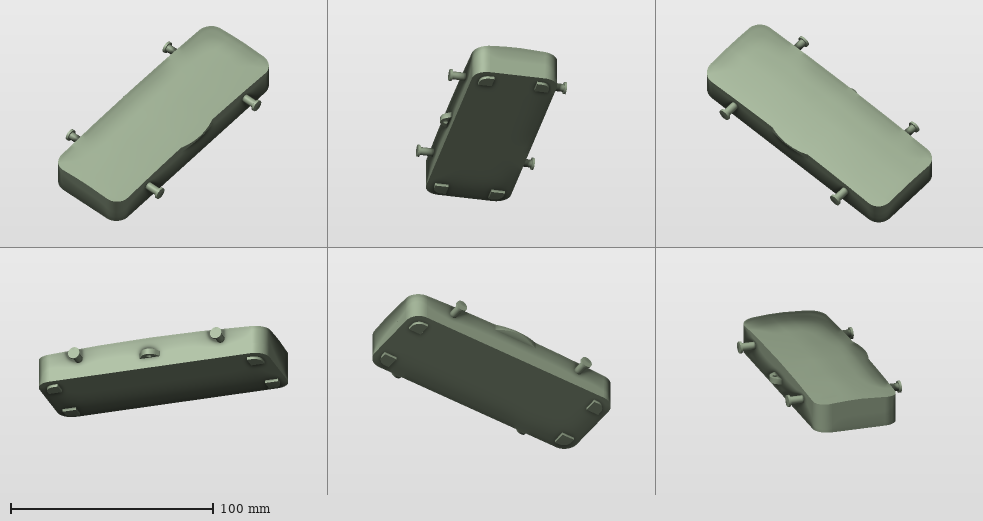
import cadquery as cq
import math

CASE_WIDTH = 43.0
CASE_LENGTH = 120.0
CORNER_RADIUS = 7.5
BASE_HEIGHT = 5.4
CROWN_HEIGHT = 17.9

CROWN_RADIUS_X = 148.8
CROWN_RADIUS_Y = 936.0

CROWN_OVERRUN = 2.4
TRIM_ALLOWANCE = 1.2

FOOT_SIZE = 6.8
FOOT_HEIGHT = 1.5
FOOT_INSET = 3.8
FOOT_CORNER_RADIUS = 4.5

PIN_SPAN = 59.0
PIN_SPACING = 74.0
PIN_HEIGHT = 10.0
PIN_DIAMETER = 4.0
PIN_HEAD_DIAMETER = 6.0
PIN_HEAD_THICKNESS = 1.2

EYELET_RADIUS = 4.5
EYELET_ROOT_WIDTH = 10.5
EYELET_THICKNESS = 2.9
EYELET_HOLE_DIAMETER = 2.6
EYELET_HOLE_OFFSET = 1.8

GRIP_LENGTH = 24.0
GRIP_REACH = 2.2
GRIP_BOTTOM = 12.5
GRIP_LIP_BOTTOM = 14.6

HALF_WIDTH = CASE_WIDTH / 2
HALF_LENGTH = CASE_LENGTH / 2


def case_block(bottom, top):
    """Upright block with the rounded outline of the case."""
    return (
        cq.Workplane("XY", origin=(0, 0, bottom))
        .rect(CASE_WIDTH, CASE_LENGTH)
        .extrude(top - bottom)
        .edges("|Z")
        .fillet(CORNER_RADIUS)
    )


def foot(side_x, side_y):
    """Square foot whose outer corner is rounded."""
    centre_x = side_x * (HALF_WIDTH - FOOT_INSET - FOOT_SIZE / 2)
    centre_y = side_y * (HALF_LENGTH - FOOT_INSET - FOOT_SIZE / 2)
    outer_corner = (
        side_x * (HALF_WIDTH - FOOT_INSET),
        side_y * (HALF_LENGTH - FOOT_INSET),
        -FOOT_HEIGHT / 2,
    )
    return (
        cq.Workplane("XY", origin=(centre_x, centre_y, -FOOT_HEIGHT))
        .rect(FOOT_SIZE, FOOT_SIZE)
        .extrude(FOOT_HEIGHT)
        .edges(cq.selectors.NearestToPointSelector(outer_corner))
        .fillet(FOOT_CORNER_RADIUS)
    )


def make_base():
    base = case_block(0, BASE_HEIGHT)
    for side_x in (-1, 1):
        for side_y in (-1, 1):
            base = base.union(foot(side_x, side_y))
    return base


def crown_envelope():
    """Everything under the lid top: a crowned cross-section swung along the length."""
    reach = HALF_WIDTH + GRIP_REACH + CROWN_OVERRUN
    edge_drop = CROWN_RADIUS_X - math.sqrt(CROWN_RADIUS_X**2 - reach**2)
    edge_height = CROWN_HEIGHT - edge_drop

    axis_z = CROWN_HEIGHT - CROWN_RADIUS_Y
    half_swing = math.degrees(math.asin((HALF_LENGTH + CROWN_OVERRUN) / CROWN_RADIUS_Y))
    envelope = (
        cq.Workplane("XZ")
        .moveTo(-reach, 0)
        .lineTo(-reach, edge_height)
        .threePointArc((0, CROWN_HEIGHT), (reach, edge_height))
        .lineTo(reach, 0)
        .close()
        .revolve(2 * half_swing, (0, axis_z), (1, axis_z))
    )
    return envelope.rotate((0, 0, axis_z), (1, 0, axis_z), -half_swing)


def grip():
    """Shallow bulge in plan, sloping in to the wall underneath."""
    half_length = GRIP_LENGTH / 2
    tip = HALF_WIDTH + GRIP_REACH
    top = CROWN_HEIGHT + TRIM_ALLOWANCE
    bulge = (
        cq.Workplane("XY")
        .moveTo(0, -half_length)
        .lineTo(HALF_WIDTH, -half_length)
        .threePointArc((tip, 0), (HALF_WIDTH, half_length))
        .lineTo(0, half_length)
        .close()
        .extrude(top)
    )
    side_profile = (
        cq.Workplane("XZ")
        .polyline([(0, GRIP_BOTTOM), (HALF_WIDTH, GRIP_BOTTOM), (tip, GRIP_LIP_BOTTOM), (tip, top), (0, top)])
        .close()
        .extrude(half_length, both=True)
    )
    return bulge.intersect(side_profile)


def eyelet():
    """Lug with a round nose, tangent flanks and a vertical hole."""
    wall = -HALF_WIDTH
    half_root = EYELET_ROOT_WIDTH / 2
    nose_y = EYELET_RADIUS**2 / half_root
    nose_x = wall - math.sqrt(EYELET_RADIUS**2 - nose_y**2)
    return (
        cq.Workplane("XY", origin=(0, 0, BASE_HEIGHT))
        .moveTo(wall, -half_root)
        .lineTo(nose_x, -nose_y)
        .threePointArc((wall - EYELET_RADIUS, 0), (nose_x, nose_y))
        .lineTo(wall, half_root)
        .close()
        .extrude(EYELET_THICKNESS)
        .cut(
            cq.Workplane("XY", origin=(wall - EYELET_HOLE_OFFSET, 0, BASE_HEIGHT))
            .circle(EYELET_HOLE_DIAMETER / 2)
            .extrude(EYELET_THICKNESS)
        )
    )


def cross_pin(y):
    """Shaft across the case with a head at each end."""
    def disc(x, diameter, length):
        return cq.Workplane("YZ", origin=(x, y, PIN_HEIGHT)).circle(diameter / 2).extrude(length)

    half_span = PIN_SPAN / 2
    return (
        disc(-half_span, PIN_DIAMETER, PIN_SPAN)
        .union(disc(-half_span, PIN_HEAD_DIAMETER, PIN_HEAD_THICKNESS))
        .union(disc(half_span - PIN_HEAD_THICKNESS, PIN_HEAD_DIAMETER, PIN_HEAD_THICKNESS))
    )


def make_lid():
    shell = case_block(BASE_HEIGHT, CROWN_HEIGHT + TRIM_ALLOWANCE).union(grip())
    lid = shell.intersect(crown_envelope())
    lid = lid.union(eyelet())
    for y in (-PIN_SPACING / 2, PIN_SPACING / 2):
        lid = lid.union(cross_pin(y))
    return lid


base = make_base()
lid = make_lid()
result = cq.Compound.makeCompound([base.val(), lid.val()])